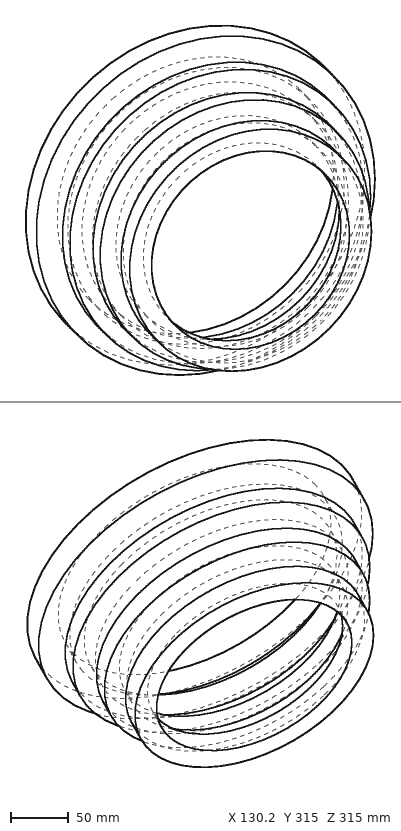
import cadquery as cq

flange_length = 25.0
band_length = 17.0
end_length = 20.2
entry_cone_length = 9.8

outer_radii = [157.5, 140.0, 125.0, 112.5]
inner_radii = [128.5, 119.0, 104.0, 92.0]

cylinder_lengths = [flange_length, band_length, band_length, end_length]


def stepped_profile(radii, first_cone_length):
    """Points (x, radius) of cylinders joined by cones."""
    points = []
    x = 0.0
    for radius, length in zip(radii, cylinder_lengths):
        points.append((x, radius))
        points.append((x + length, radius))
        x += length + band_length
    points[2] = (flange_length + first_cone_length, radii[1])
    return points


outer_profile = stepped_profile(outer_radii, band_length)
inner_profile = stepped_profile(inner_radii, entry_cone_length)
wall_section = cq.Workplane("XY").polyline(outer_profile + inner_profile[::-1]).close()
result = wall_section.revolve(360, (0, 0, 0), (1, 0, 0))